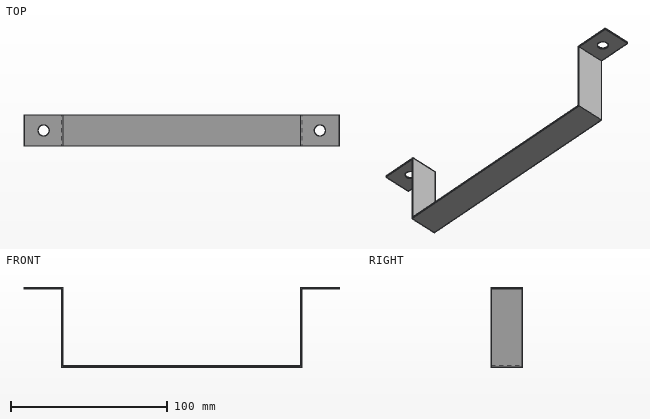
import cadquery as cq

overall_length = 202.0
overall_height = 51.0
strip_width = 20.0
thickness = 1.0
flange_length = 25.0
hole_diameter = 7.0

half_length = overall_length / 2
leg_inner_x = half_length - flange_length
leg_outer_x = leg_inner_x + thickness
flange_underside_z = overall_height - thickness
hole_x = half_length - flange_length / 2


def bent_strip():
    """Hat-shaped strip: base, two upright legs and two outward flanges."""
    right_half = [
        (leg_outer_x, 0),
        (leg_outer_x, flange_underside_z),
        (half_length, flange_underside_z),
        (half_length, overall_height),
        (leg_inner_x, overall_height),
        (leg_inner_x, thickness),
    ]
    left_half = [(-x, z) for x, z in reversed(right_half)]
    return (
        cq.Workplane("XZ")
        .polyline(right_half + left_half)
        .close()
        .extrude(strip_width / 2, both=True)
    )


def flange_holes():
    """Cutters for the mounting hole in the middle of each flange."""
    return (
        cq.Workplane("XY")
        .workplane(offset=flange_underside_z)
        .pushPoints([(-hole_x, 0), (hole_x, 0)])
        .circle(hole_diameter / 2)
        .extrude(thickness)
    )


result = bent_strip().cut(flange_holes())